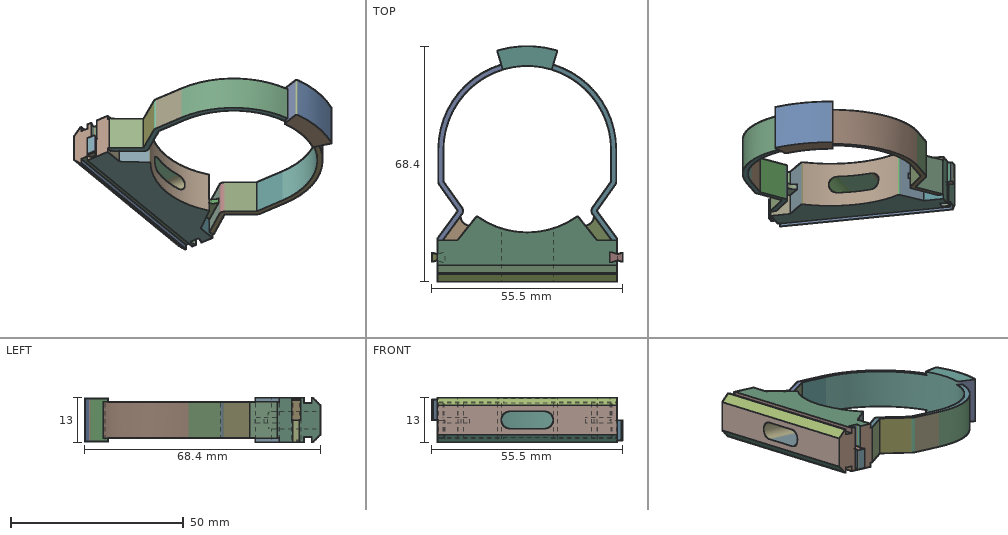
import cadquery as cq
import math

join_overlap = 0.7

total_length = 68.35

base_height = 13.0
block_height = 12.6
strap_height = 10.5
web_height = 1.5

ring_radius = 24.3
ring_center_y = 38.3
strap_thickness = 1.6
side_end_y = 28.6
waist_x = 20.2
waist_y = 20.6
arm_foot_y = 12.6
strap_root_y = 10.25

base_half_width = 26.05
saddle_radius = 24.95
saddle_bottom_y = 14.35
shoulder_x = 20.25
shoulder_y = 12.0
horn_x = 14.6
horn_round = 0.35

foot_front_height = 8.5
foot_bevel = (base_height - foot_front_height) / 2
foot_back_y = 2.6
neck_end_y = 4.8
neck_depth = 1.5

web_edge = [(17.2, 16.4), (18.7, 17.35), (19.3, 19.1)]

block_outer_radius = total_length - ring_center_y
block_half_angle = 17.0
block_round = 0.35

window_length = 15.05
window_height = 5.0

connector_y = 7.1
key_reach = 1.7
key_tip_width = 2.6
key_neck_width = 1.8
key_tip_length = 0.5
key_height = 5.95
key_round = 0.2
key_chamfer = 0.2
groove_depth = 2.2
groove_end_width = 2.9
groove_mouth_width = 1.9
groove_end_length = 0.7


def extrude_centered(outline, height):
    return outline.extrude(height / 2, both=True)


def ring_point(radius, angle):
    """Point at an angle in degrees from the +Y direction, about the ring centre."""
    a = math.radians(angle)
    return (radius * math.sin(a), ring_center_y + radius * math.cos(a))


def mirror_x(points):
    """Points mirrored to the other side, in reverse order so that an outline can carry on."""
    return [(-x, y) for x, y in reversed(points)]


def make_base():
    horn_y = saddle_bottom_y + saddle_radius - math.sqrt(saddle_radius ** 2 - horn_x ** 2)
    right = [(base_half_width, 0), (base_half_width, shoulder_y), (shoulder_x, shoulder_y), (horn_x, horn_y)]
    left = mirror_x(right)
    outline = (
        cq.Workplane("XY")
        .polyline(right)
        .threePointArc((0, saddle_bottom_y), left[0])
        .polyline(left[1:], includeCurrent=True)
        .close()
    )
    body = extrude_centered(outline, base_height)
    for side in (-1, 1):
        horn_edge = cq.selectors.NearestToPointSelector((side * horn_x, horn_y, 0))
        body = body.edges(horn_edge).fillet(horn_round)
    return body


def cut_foot_profile(body):
    """Bevel the front edges and cut the neck grooves behind the foot, top and bottom."""
    top = base_height / 2
    bevel = [(0, top - foot_bevel), (foot_bevel, top), (0, top)]
    floor = top - neck_depth
    neck = [(foot_back_y, floor), (neck_end_y, floor), (neck_end_y, top), (foot_back_y, top)]
    for points in (bevel, neck):
        cutter = cq.Workplane("YZ").polyline(points).close().extrude(base_half_width, both=True)
        body = body.cut(cutter).cut(cutter.mirror("XY"))
    return body


def make_legs():
    """Lower half of the strap; its bottom bar is buried in the base."""
    outer_radius = ring_radius + strap_thickness
    right = [
        (base_half_width, strap_root_y),
        (base_half_width, arm_foot_y),
        (waist_x, waist_y),
        (outer_radius, side_end_y),
        (outer_radius, ring_center_y + strap_thickness),
    ]
    outline = cq.Workplane("XY").polyline(right + mirror_x(right)).close()
    inside = cq.Workplane("XY").add(outline.val().offset2D(-strap_thickness)).toPending()
    legs = extrude_centered(outline, strap_height).cut(extrude_centered(inside, strap_height))
    for side in (-1, 1):
        side_edge = cq.selectors.NearestToPointSelector((side * outer_radius, side_end_y, 0))
        legs = legs.edges(side_edge).fillet(strap_thickness)
    top_bar = (
        cq.Workplane("XY")
        .box(2 * outer_radius, strap_thickness, strap_height, centered=(True, False, True))
        .translate((0, ring_center_y, 0))
    )
    return legs.cut(top_bar)


def make_hoop():
    """Half ring that closes the strap over the legs."""
    outer_radius = ring_radius + strap_thickness
    outline = (
        cq.Workplane("XY")
        .moveTo(outer_radius, ring_center_y)
        .threePointArc(ring_point(outer_radius, 0), (-outer_radius, ring_center_y))
        .lineTo(-ring_radius, ring_center_y)
        .threePointArc(ring_point(ring_radius, 0), (ring_radius, ring_center_y))
        .close()
    )
    return extrude_centered(outline, strap_height)


def make_web():
    """Thin web on the +X side, from the saddle to the strap arm, with a hollow free edge."""
    saddle_end, hollow, strap_end = web_edge
    outline = (
        cq.Workplane("XY")
        .moveTo(*saddle_end)
        .threePointArc(hollow, strap_end)
        .lineTo(waist_x, strap_end[1])
        .lineTo(base_half_width - join_overlap, arm_foot_y)
        .lineTo(base_half_width - join_overlap, shoulder_y - join_overlap)
        .lineTo(shoulder_x - join_overlap, shoulder_y - join_overlap)
        .lineTo(saddle_end[0] - join_overlap, saddle_end[1])
        .close()
    )
    return extrude_centered(outline, web_height)


def make_block():
    """Sector of a ring, flush with the inside of the strap."""
    outline = (
        cq.Workplane("XY")
        .moveTo(*ring_point(ring_radius, -block_half_angle))
        .threePointArc(ring_point(ring_radius, 0), ring_point(ring_radius, block_half_angle))
        .lineTo(*ring_point(block_outer_radius, block_half_angle))
        .threePointArc(ring_point(block_outer_radius, 0), ring_point(block_outer_radius, -block_half_angle))
        .close()
    )
    return extrude_centered(outline, block_height).edges("|Z").fillet(block_round)


def connector_outline(root_x, root_width, neck_x, tip_x, tip_width):
    """Symmetric outline with a straight-sided head at tip_x, tapering to its narrowest at root_x."""
    upper = [(root_x, root_width / 2), (neck_x, tip_width / 2), (tip_x, tip_width / 2)]
    lower = [(x, -y) for x, y in reversed(upper)]
    return cq.Workplane("XY").center(0, connector_y).polyline(upper + lower).close()


def make_key():
    """Key on the -X side, filling the upper half of the height."""
    tip_x = -base_half_width - key_reach
    key = connector_outline(
        -base_half_width, key_neck_width, tip_x + key_tip_length, tip_x, key_tip_width
    ).extrude(key_height)
    root = (
        cq.Workplane("XY")
        .box(join_overlap, key_neck_width, key_height, centered=(False, True, False))
        .translate((-base_half_width, connector_y, 0))
    )
    key = key.edges("|Z and <X").fillet(key_round)
    return key.faces(">Z").edges("<X").chamfer(key_chamfer).union(root)


def make_groove():
    """Cutter for the groove on the -X side, open through the bottom of the lower half."""
    end_x = -base_half_width + groove_depth
    groove = connector_outline(
        -base_half_width, groove_mouth_width, end_x - groove_end_length, end_x, groove_end_width
    ).extrude(-base_height / 2)
    return groove.edges("|Z and >X").fillet(key_round)


def half_turn(shape):
    """Copy on the opposite side and the opposite half of the height."""
    return shape.rotate((0, 0, 0), (0, 1, 0), 180)


def make_window():
    """Slot cutter from the front face through the saddle into the open ring."""
    return cq.Workplane("XZ").slot2D(window_length, window_height).extrude(-ring_center_y)


web = make_web()
key = make_key()
groove = make_groove()

result = cut_foot_profile(make_base())
result = result.union(make_legs()).union(make_hoop()).union(make_block())
result = result.union(web).union(web.mirror("YZ"))
result = result.cut(make_window())
result = result.cut(groove).cut(half_turn(groove))
result = result.union(key).union(half_turn(key))